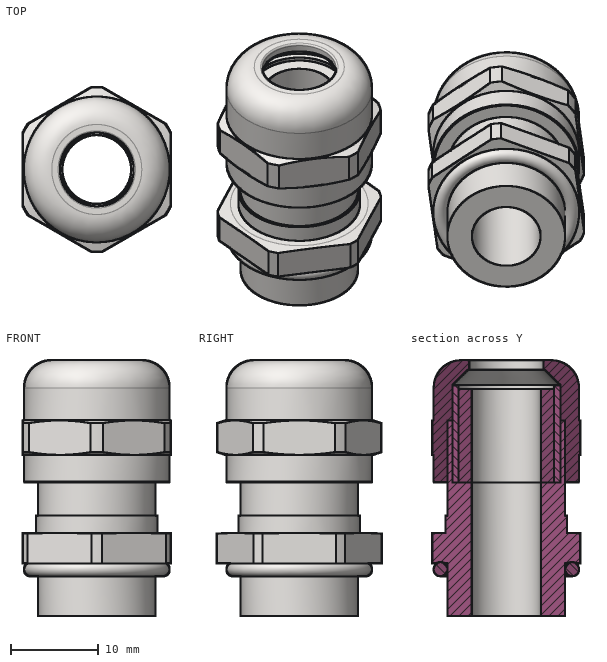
import cadquery as cq
import math

BODY_HEX_BOTTOM = 6.05
BODY_HEX_TOP = 9.56
COLLAR_TOP = 11.55
NUT_BOTTOM = 15.35
NUT_HEX_BOTTOM = 18.48
NUT_HEX_TOP = 22.5
SEAL_TOP = 26.1
CAGE_TOP = 26.55
CAVITY_TOP = 28.25
TOTAL_HEIGHT = 29.43
BODY_TOP = NUT_HEX_TOP
SEAT_Z = NUT_BOTTOM

ACROSS_FLATS = 17.0
BODY_CORNER_RADIUS = 9.5
BODY_FACE_RADIUS = 7.92
BODY_HEX_BEVEL = 0.1
NUT_CORNER_RADIUS = 9.45
NUT_HEX_BEVEL = 0.35

THREAD_RADIUS = 6.77
COLLAR_RADIUS = 7.0
NUT_RADIUS = 8.4
DOME_FILLET = 3.2
NUT_EDGE_CHAMFER = 0.1

CABLE_RADIUS = 3.95
ENTRY_RADIUS = 4.25
LIP_FILLET = 0.2
SEAL_RADIUS = 5.47
CAGE_RADIUS = 6.18

RING_CENTRE_Z = 5.35
RING_SECTION_RADIUS = (NUT_RADIUS - THREAD_RADIUS) / 2
RING_CENTRE_RADIUS = NUT_RADIUS - RING_SECTION_RADIUS


def revolve_about_z(outline):
    """Turn a closed outline drawn in the XZ plane around the Z axis."""
    return outline.revolve(360, (0, 0), (0, 1))


def cylinder(radius, bottom, top):
    return cq.Workplane("XY", origin=(0, 0, bottom)).circle(radius).extrude(top - bottom)


def tube(outer_radius, inner_radius, bottom, top):
    return cylinder(outer_radius, bottom, top).cut(cylinder(inner_radius, bottom, top))


def hexagon(bottom, top):
    """Hexagonal prism with two of its flats facing +X and -X."""
    corner_diameter = ACROSS_FLATS / math.cos(math.radians(30))
    prism = cq.Workplane("XY", origin=(0, 0, bottom)).polygon(6, corner_diameter).extrude(top - bottom)
    return prism.rotate((0, 0, 0), (0, 0, 1), 30)


def make_ring():
    """O-ring that lies against the underside of the body hexagon."""
    section = cq.Workplane("XZ").moveTo(RING_CENTRE_RADIUS, RING_CENTRE_Z).circle(RING_SECTION_RADIUS)
    return revolve_about_z(section)


def body_hexagon():
    """Hexagon with rounded corners and a slight bevel on its top."""
    envelope = cq.Workplane("XZ").polyline([
        (0, BODY_HEX_BOTTOM),
        (BODY_CORNER_RADIUS, BODY_HEX_BOTTOM),
        (BODY_CORNER_RADIUS, BODY_HEX_TOP - BODY_HEX_BEVEL),
        (BODY_FACE_RADIUS, BODY_HEX_TOP),
        (0, BODY_HEX_TOP),
    ]).close()
    return hexagon(BODY_HEX_BOTTOM, BODY_HEX_TOP).intersect(revolve_about_z(envelope))


def make_body(ring):
    """Gland body: tube with hexagon and collar, bored for cable, seal and cage."""
    body = body_hexagon()
    body = body.union(cylinder(THREAD_RADIUS, 0, BODY_TOP))
    body = body.union(cylinder(COLLAR_RADIUS, BODY_HEX_TOP, COLLAR_TOP))
    body = body.cut(cylinder(CABLE_RADIUS, 0, SEAT_Z))
    body = body.cut(cylinder(CAGE_RADIUS, SEAT_Z, BODY_TOP))
    return body.cut(ring)


def nut_hexagon():
    """Hexagonal band with rounded corners, bevelled at both ends, open for the nut bore."""
    envelope = cq.Workplane("XZ").polyline([
        (0, NUT_HEX_BOTTOM),
        (NUT_RADIUS, NUT_HEX_BOTTOM),
        (NUT_CORNER_RADIUS, NUT_HEX_BOTTOM + NUT_HEX_BEVEL),
        (NUT_CORNER_RADIUS, NUT_HEX_TOP - NUT_HEX_BEVEL),
        (NUT_RADIUS, NUT_HEX_TOP),
        (0, NUT_HEX_TOP),
    ]).close()
    band = hexagon(NUT_HEX_BOTTOM, NUT_HEX_TOP).intersect(revolve_about_z(envelope))
    return band.cut(cylinder(THREAD_RADIUS, NUT_HEX_BOTTOM, NUT_HEX_TOP))


def nut_shell():
    """Domed shell with a rounded entry lip and a cone that closes down on the cage."""
    lip_radius = ENTRY_RADIUS + LIP_FILLET
    section = (
        cq.Workplane("XZ")
        .moveTo(THREAD_RADIUS, NUT_BOTTOM)
        .lineTo(NUT_RADIUS - NUT_EDGE_CHAMFER, NUT_BOTTOM)
        .lineTo(NUT_RADIUS, NUT_BOTTOM + NUT_EDGE_CHAMFER)
        .lineTo(NUT_RADIUS, TOTAL_HEIGHT - DOME_FILLET)
        .tangentArcPoint((NUT_RADIUS - DOME_FILLET, TOTAL_HEIGHT), relative=False)
        .lineTo(lip_radius, TOTAL_HEIGHT)
        .tangentArcPoint((ENTRY_RADIUS, TOTAL_HEIGHT - LIP_FILLET), relative=False)
        .lineTo(ENTRY_RADIUS, CAVITY_TOP + LIP_FILLET)
        .tangentArcPoint((lip_radius, CAVITY_TOP), relative=False)
        .lineTo(CAGE_RADIUS, CAGE_TOP)
        .lineTo(CAGE_RADIUS, BODY_TOP)
        .lineTo(THREAD_RADIUS, BODY_TOP)
        .close()
    )
    return revolve_about_z(section)


def make_nut():
    return nut_shell().union(nut_hexagon())


def make_cage():
    """Clamping sleeve around the seal."""
    return tube(CAGE_RADIUS, SEAL_RADIUS, SEAT_Z, CAGE_TOP)


def make_seal():
    """Sleeve that grips the cable."""
    return tube(SEAL_RADIUS, CABLE_RADIUS, SEAT_Z, SEAL_TOP)


ring = make_ring()
body = make_body(ring)
nut = make_nut()
cage = make_cage()
seal = make_seal()

result = cq.Compound.makeCompound([body.val(), ring.val(), nut.val(), cage.val(), seal.val()])